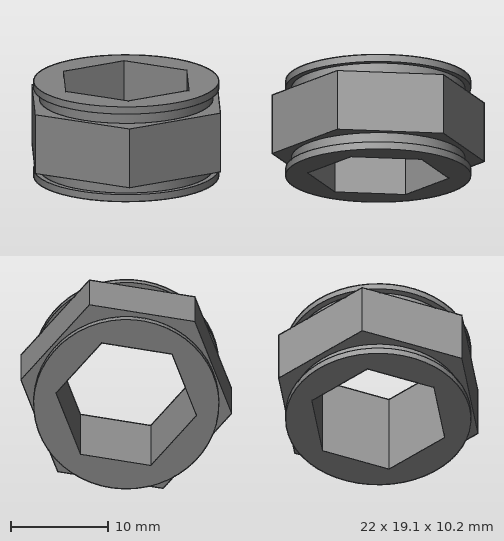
import cadquery as cq
import math

across_corners = 22.0
total_height = 10.16
hex_height = 6.3
flange_thickness = 0.77
groove_diameter = 17.86
bore_across_flats = 12.7

corner_ratio = 1 / math.cos(math.pi / 6)
flange_diameter = across_corners / corner_ratio
bore_across_corners = bore_across_flats * corner_ratio
neck_height = total_height - 2 * flange_thickness


def centered_plane(height):
    """Horizontal workplane at the bottom of a solid centred on the origin."""
    return cq.Workplane("XY").workplane(offset=-height / 2)


def centered_disc(diameter, height):
    """Cylinder on the Z axis, centred on the origin."""
    return centered_plane(height).circle(diameter / 2).extrude(height)


def centered_hexagon(corner_diameter, height):
    """Hexagonal prism with corners on the X axis, centred on the origin."""
    return centered_plane(height).polygon(6, corner_diameter).extrude(height)


body = centered_hexagon(across_corners, hex_height)
body = body.union(centered_disc(groove_diameter, neck_height))

flange_offset = (total_height - flange_thickness) / 2
for side in (-1, 1):
    flange = centered_disc(flange_diameter, flange_thickness)
    body = body.union(flange.translate((0, 0, side * flange_offset)))

result = body.cut(centered_hexagon(bore_across_corners, total_height))